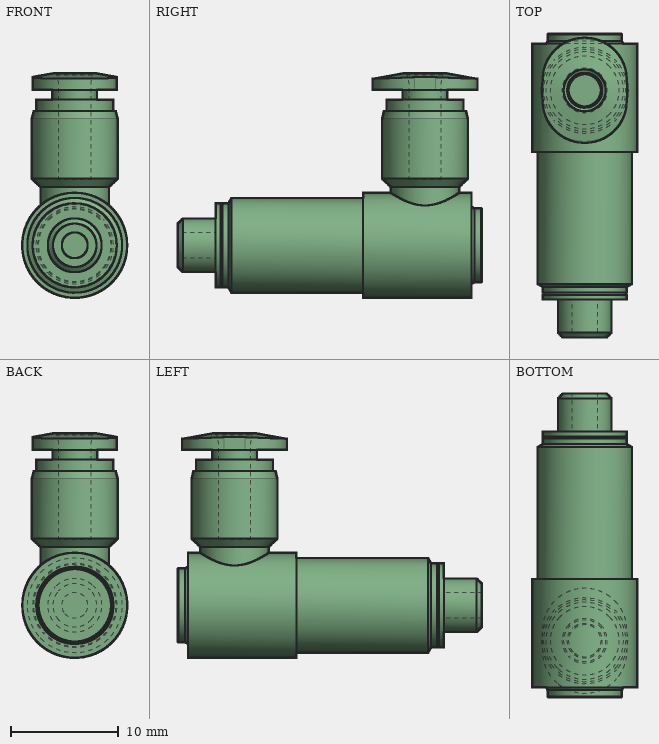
import cadquery as cq


body_diameter = 9.8
body_back = 4.33
body_front = -5.75

plug_diameter = 6.9
plug_base_diameter = 7.2
plug_length = 0.95
plug_base_length = 0.25
plug_edge_chamfer = 0.08

sleeve_diameter = 8.83
sleeve_front = -18.0
sleeve_cone_length = 0.28
shoulder_diameter = 7.85
shoulder_length = 1.47
groove_diameter = 7.65
groove_width = 0.2
groove_setback = 0.45

stub_diameter = 5.0
stub_chamfer = 0.48
stub_bore_diameter = 2.4
stub_bore_depth = 3.55
overall_length = 28.3

neck_diameter = 6.4
socket_diameter = 8.0
socket_cone_bottom = 5.43
socket_bottom = 6.2
socket_taper_start = 11.77
socket_top = 12.5
socket_top_diameter = 7.65
collar_diameter = 7.2
collar_top = 13.55

stem_diameter = 4.2
button_length = body_diameter
button_width = 7.85
button_bottom = 14.45
button_cone_diameter = 9.5
button_rim_top = 15.5
button_top = 16.02

mouth_diameter = 3.9
throat_diameter = 3.25
throat_drop = 0.2
bore_diameter = 3.0
throat_taper_drop = 0.95
bore_depth = 9.9

plug_back = body_back + plug_length
stub_front = plug_back - overall_length
shoulder_front = sleeve_front - shoulder_length
groove_front = shoulder_front + groove_setback
groove_back = groove_front + groove_width


def revolve_about_y(stations):
    """Solid of revolution from (diameter, y) stations along the Y axis."""
    points = [(diameter / 2, y) for diameter, y in stations]
    outline = [(0, points[0][1])] + points + [(0, points[-1][1])]
    return cq.Workplane("XY").polyline(outline).close().revolve(360, (0, 0), (0, 1))


def revolve_about_z(stations):
    """Solid of revolution from (diameter, z) stations along the Z axis."""
    points = [(diameter / 2, z) for diameter, z in stations]
    outline = [(0, points[0][1])] + points + [(0, points[-1][1])]
    return cq.Workplane("XZ").polyline(outline).close().revolve(360, (0, 0), (0, 1))


def make_main_body():
    return revolve_about_y([
        (plug_diameter - 2 * plug_edge_chamfer, plug_back),
        (plug_diameter, plug_back - plug_edge_chamfer),
        (plug_diameter, body_back + plug_base_length),
        (plug_base_diameter, body_back),
        (body_diameter, body_back),
        (body_diameter, body_front),
        (sleeve_diameter, body_front),
        (sleeve_diameter, sleeve_front),
        (shoulder_diameter, sleeve_front - sleeve_cone_length),
        (shoulder_diameter, groove_back),
        (groove_diameter, groove_back),
        (groove_diameter, groove_front),
        (shoulder_diameter, groove_front),
        (shoulder_diameter, shoulder_front),
        (stub_diameter, shoulder_front),
        (stub_diameter, stub_front + stub_chamfer),
        (stub_diameter - 2 * stub_chamfer, stub_front),
    ])


def make_stub_bore():
    return revolve_about_y([
        (stub_bore_diameter, stub_front),
        (stub_bore_diameter, stub_front + stub_bore_depth),
    ])


def make_socket():
    return revolve_about_z([
        (neck_diameter, 0),
        (neck_diameter, socket_cone_bottom),
        (socket_diameter, socket_bottom),
        (socket_diameter, socket_taper_start),
        (socket_top_diameter, socket_top),
        (collar_diameter, socket_top),
        (collar_diameter, collar_top),
        (stem_diameter, collar_top),
        (stem_diameter, button_bottom),
    ])


def make_button():
    plate = (
        cq.Workplane("XY", origin=(0, 0, button_bottom))
        .slot2D(button_length, button_width, 90)
        .extrude(button_top - button_bottom)
    )
    conical_top = revolve_about_z([
        (button_length, button_bottom),
        (button_length, button_rim_top),
        (button_cone_diameter, button_rim_top),
        (mouth_diameter, button_top),
    ])
    return plate.intersect(conical_top)


def make_tube_bore():
    return revolve_about_z([
        (mouth_diameter, button_top),
        (throat_diameter, button_top - throat_drop),
        (bore_diameter, button_top - throat_taper_drop),
        (bore_diameter, button_top - bore_depth),
    ])


result = (
    make_main_body()
    .union(make_socket())
    .union(make_button())
    .cut(make_stub_bore())
    .cut(make_tube_bore())
)